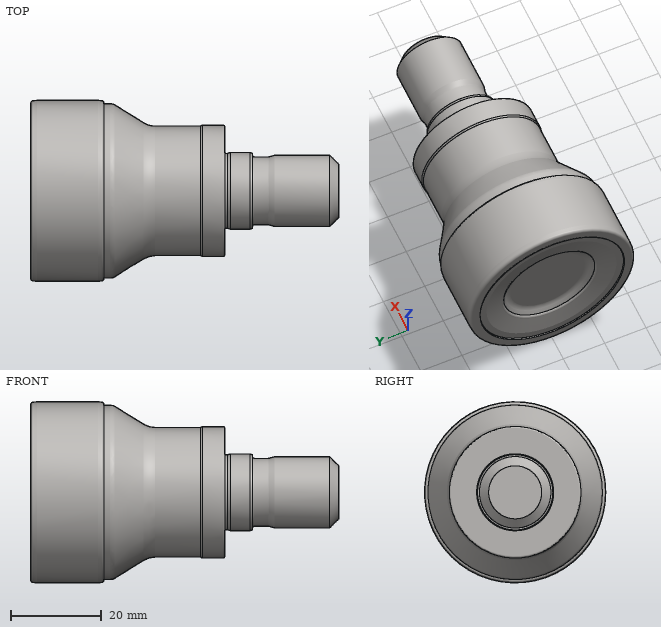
import cadquery as cq


CAP_RADIUS = 20.0
CAP_LENGTH = 16.2
BAND_RELIEF = 0.1
FRONT_BAND_END_X = 1.4
REAR_BAND_START_X = 14.95
FRONT_ROUND = 0.7
REAR_ROUND = 0.6
STEP_OUTER_RADIUS = 17.5
STEP_INNER_RADIUS = 17.35
STEP_DEPTH = 0.3
DISH_RADIUS = 15.7
LIP_RADIUS = 11.6
LIP_X = 1.1
WINDOW_RADIUS = 11.0

SEAT_X = 1.6
BELL_RADIUS = 38.5 / 2
RECESS_RADIUS = 10.2
RECESS_TAPER_X = 2.1
RECESS_FLOOR_RADIUS = 9.0
RECESS_FLOOR_X = 2.5
CONE_START_X = 18.15
CONE_END_X = 26.1
BELL_ROUND = 1.9
NECK_ROUND = 4.7
NECK_RADIUS = 28.6 / 2
NECK_END_X = 37.45
FLANGE_RADIUS = 29.0 / 2
FLANGE_START_X = 37.85
FLANGE_END_X = 42.8
FLANGE_ROUND = 0.4

COLLAR_NECK_RADIUS = 16.6 / 2
COLLAR_NECK_ROUND = 0.2
COLLAR_NECK_END_X = 43.45
COLLAR_RADIUS = 17.0 / 2
COLLAR_START_X = 44.05
COLLAR_TAPER_X = 48.3
COLLAR_END_X = 48.95
GROOVE_RADIUS = 15.0 / 2
GROOVE_ROUND = 0.4
GROOVE_END_X = 52.5
GROOVE_EXIT_ROUND = 0.75
SHANK_RADIUS = 15.8 / 2
SHANK_START_X = 53.85
SHANK_END_X = 68.0
TIP_CHAMFER = 2.05


def revolve_about_x(profile):
    return profile.close().revolve(360, (0, 0, 0), (1, 0, 0))


def circle_at(x, radius):
    """Selector for the single circular edge with the given X and radius."""
    tolerance = 0.01
    outer = radius + tolerance
    inner = radius - tolerance
    start_x = x - tolerance
    end_x = x + tolerance

    def box(half_width):
        return cq.selectors.BoxSelector(
            (start_x, -half_width, -half_width),
            (end_x, half_width, half_width),
            boundingbox=True,
        )

    return box(outer) - box(inner)


def round_circle(body, x, radius, round_radius):
    return body.edges(circle_at(x, radius)).fillet(round_radius)


def make_cap():
    """Cup with a dished front, a rounded window lip and a bore for the bell."""
    band_radius = CAP_RADIUS - BAND_RELIEF
    lip_round = LIP_RADIUS - WINDOW_RADIUS
    cap = revolve_about_x(
        cq.Workplane("XY")
        .moveTo(0, STEP_OUTER_RADIUS)
        .lineTo(0, band_radius)
        .lineTo(FRONT_ROUND, band_radius)
        .lineTo(FRONT_BAND_END_X, CAP_RADIUS)
        .lineTo(REAR_BAND_START_X, CAP_RADIUS)
        .lineTo(CAP_LENGTH - REAR_ROUND, band_radius)
        .lineTo(CAP_LENGTH, band_radius)
        .lineTo(CAP_LENGTH, BELL_RADIUS)
        .lineTo(SEAT_X, BELL_RADIUS)
        .lineTo(SEAT_X, WINDOW_RADIUS)
        .radiusArc((LIP_X, LIP_RADIUS), lip_round)
        .lineTo(STEP_DEPTH, DISH_RADIUS)
        .lineTo(STEP_DEPTH, STEP_INNER_RADIUS)
    )
    margin = 0.035
    cap = round_circle(cap, 0, band_radius, FRONT_ROUND - margin)
    return round_circle(cap, CAP_LENGTH, band_radius, REAR_ROUND - margin)


def make_housing():
    """Bell, neck, flange and stud turned as one piece, with a shallow front recess."""
    recess_width = RECESS_RADIUS - RECESS_FLOOR_RADIUS
    recess_rise = RECESS_FLOOR_X - RECESS_TAPER_X
    recess_round = (recess_width**2 + recess_rise**2) / (2 * recess_rise)
    housing = revolve_about_x(
        cq.Workplane("XY")
        .moveTo(RECESS_FLOOR_X, 0)
        .lineTo(RECESS_FLOOR_X, RECESS_FLOOR_RADIUS)
        .radiusArc((RECESS_TAPER_X, RECESS_RADIUS), -recess_round)
        .lineTo(SEAT_X, WINDOW_RADIUS)
        .lineTo(SEAT_X, BELL_RADIUS)
        .lineTo(CONE_START_X, BELL_RADIUS)
        .lineTo(CONE_END_X, NECK_RADIUS)
        .lineTo(NECK_END_X, NECK_RADIUS)
        .lineTo(FLANGE_START_X, FLANGE_RADIUS)
        .lineTo(FLANGE_END_X, FLANGE_RADIUS)
        .lineTo(FLANGE_END_X, COLLAR_NECK_RADIUS)
        .lineTo(COLLAR_NECK_END_X, COLLAR_NECK_RADIUS)
        .lineTo(COLLAR_START_X, COLLAR_RADIUS)
        .lineTo(COLLAR_TAPER_X, COLLAR_RADIUS)
        .lineTo(COLLAR_END_X, COLLAR_NECK_RADIUS)
        .lineTo(COLLAR_END_X, GROOVE_RADIUS)
        .lineTo(GROOVE_END_X, GROOVE_RADIUS)
        .lineTo(SHANK_START_X, SHANK_RADIUS)
        .lineTo(SHANK_END_X - TIP_CHAMFER, SHANK_RADIUS)
        .lineTo(SHANK_END_X, SHANK_RADIUS - TIP_CHAMFER)
        .lineTo(SHANK_END_X, 0)
    )
    for x, radius, round_radius in (
        (CONE_START_X, BELL_RADIUS, BELL_ROUND),
        (CONE_END_X, NECK_RADIUS, NECK_ROUND),
        (FLANGE_END_X, FLANGE_RADIUS, FLANGE_ROUND),
        (FLANGE_END_X, COLLAR_NECK_RADIUS, COLLAR_NECK_ROUND),
        (COLLAR_END_X, GROOVE_RADIUS, GROOVE_ROUND),
        (GROOVE_END_X, GROOVE_RADIUS, GROOVE_EXIT_ROUND),
    ):
        housing = round_circle(housing, x, radius, round_radius)
    return housing


cap = make_cap()
housing = make_housing()
result = cq.Compound.makeCompound([cap.val(), housing.val()])